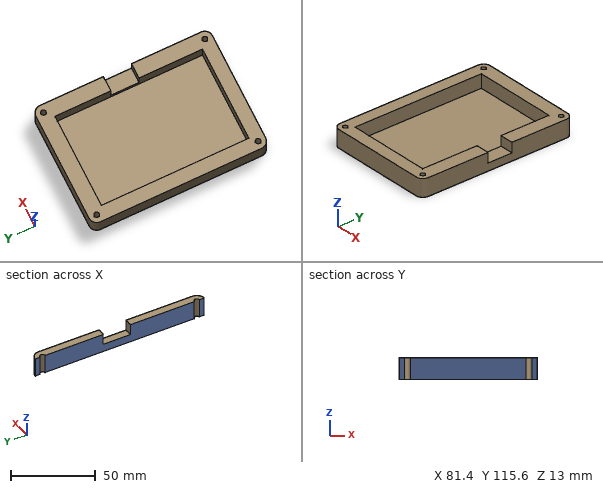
import cadquery as cq

width = 81.4
length = 115.6
height = 13.0
corner_radius = 5.1

hole_diameter = 3.4
hole_inset = 5.0

pocket_wall_left = 9.0
pocket_wall_right = 10.0
pocket_wall_front = 9.0
pocket_wall_back = 10.0
pocket_depth = 9.9

notch_width = 18.4
notch_depth = 7.3
notch_center_y = 2.0


def make_block():
    block = cq.Workplane("XY").box(width, length, height, centered=(True, True, False))
    return block.edges("|Z").fillet(corner_radius)


def make_pocket():
    pocket_width = width - pocket_wall_left - pocket_wall_right
    pocket_length = length - pocket_wall_front - pocket_wall_back
    pocket_center_x = (pocket_wall_left - pocket_wall_right) / 2
    pocket_center_y = (pocket_wall_front - pocket_wall_back) / 2
    return (
        cq.Workplane("XY", origin=(pocket_center_x, pocket_center_y, height))
        .rect(pocket_width, pocket_length)
        .extrude(-pocket_depth)
    )


def make_notch():
    notch_center_x = (width - pocket_wall_right) / 2
    return (
        cq.Workplane("XY", origin=(notch_center_x, notch_center_y, height))
        .rect(pocket_wall_right, notch_width)
        .extrude(-notch_depth)
    )


def make_screw_holes():
    return (
        cq.Workplane("XY")
        .rect(width - 2 * hole_inset, length - 2 * hole_inset, forConstruction=True)
        .vertices()
        .circle(hole_diameter / 2)
        .extrude(height)
    )


result = make_block().cut(make_pocket()).cut(make_notch()).cut(make_screw_holes())